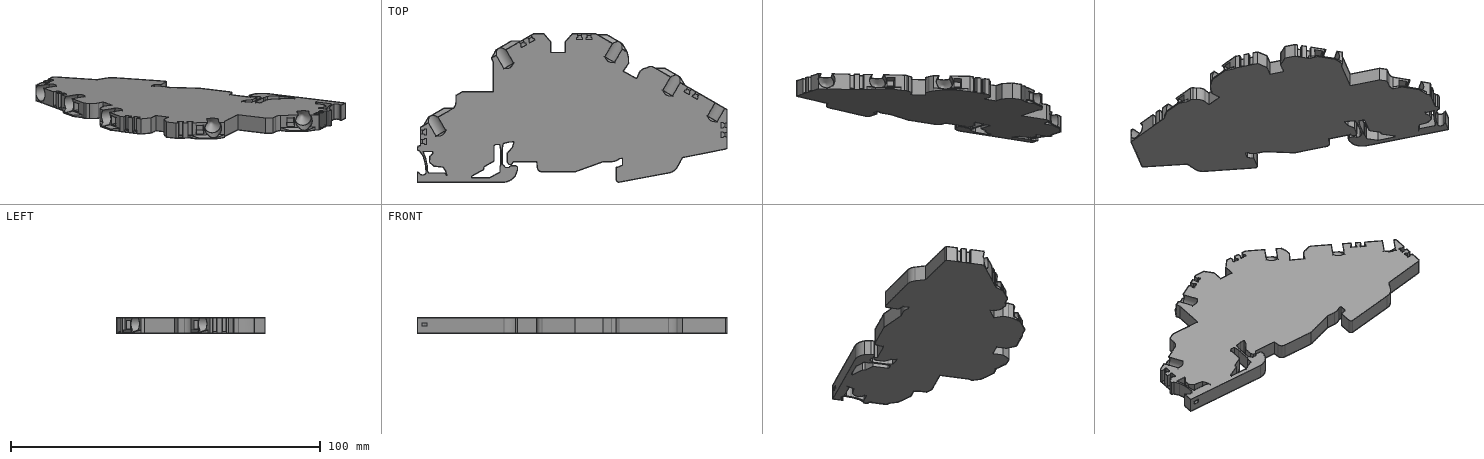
import cadquery as cq
import math

LENGTH = 100.0
HEIGHT = 48.0
THICKNESS = 5.1

LEFT_EDGE_X = 0.93
RAIL_SEAT_Y = 6.63
KEEL_Y = 3.35
LOWER_STEP_Y = 29.26
LOWER_STEP_X = 12.38
UPPER_STEP_X = 24.43
CROWN_NOTCH_X = (43.1, 47.68)
CROWN_NOTCH_Y = 41.93
CROWN_NOTCH_BEVEL_Y = 45.34
RIGHT_SHOULDER_Y = 37.45
RIGHT_FOOT_X = 64.2
RIGHT_TOE_RADIUS = 0.9

SLOPE = math.radians(30)
LEFT_MOUTHS = ((5.09, 20.15), (27.0, 41.93))
RIGHT_MOUTHS = ((64.58, 43.95), (83.31, 33.12))
END_MOUTH_SPACING = 16.63
WIRE_HOLE_RADIUS = 2.7
WIRE_HOLE_AXIS_Z = 3.1
WIRE_HOLE_DEPTH = 5.0
WIRE_HOLE_TIP = WIRE_HOLE_RADIUS
TOOL_HOLE_OFFSET = 4.25
TOOL_HOLE_WIDTH = 2.5
TOOL_HOLE_Z = (1.4, 4.2)
TOOL_HOLE_DEPTH = 5.0

SILL_SPAN = (-3.6, 7.54)
SILL_REACH = 1.55
SILL_INNER_Z = 1.05
SILL_OUTER_Z = 0.4

SLOT_PITCH = 3.05
SLOT_MOUTH = 1.45
SLOT_NECK = 1.15
SLOT_NECK_DEPTH = 1.05
SLOT_WIDTH = 1.9
SLOT_DEPTH = 1.95
SLOT_SHOULDER_DEPTH = 1.4
SLOT_FLOOR_Z = 0.55
SLOT_LIP_Z = 0.2
SLOT_LIP_DEPTH = 0.65

POCKET_X = (1.5, 3.15)
POCKET_Z = (2.4, 3.4)
POCKET_RAMP_X = 2.45
POCKET_DEPTH = 1.0
POCKET_RAMP_DEPTH = 1.2


def y_on_slope(mouth, x, side):
    """Height at x of the sloping edge through a mouth; side is +1 where the edge rises with X."""
    return mouth[1] + side * (x - mouth[0]) * math.tan(SLOPE)


def x_on_slope(mouth, y, side):
    """Where the sloping edge through a mouth reaches height y."""
    return mouth[0] + side * (y - mouth[1]) / math.tan(SLOPE)


def along_slope(mouth, distance, side):
    """Point on the sloping edge, measured uphill from the mouth."""
    return (
        mouth[0] + side * distance * math.cos(SLOPE),
        mouth[1] + distance * math.sin(SLOPE),
    )


def edge_plane(point, angle):
    """Plane on the outline: local x along the edge, local y outward, local z along the part's Z."""
    turn = math.radians(angle)
    return cq.Plane(
        origin=(point[0], point[1], 0),
        xDir=(math.cos(turn), math.sin(turn), 0),
        normal=(0, 0, 1),
    )


def slope_plane(mouth, side):
    """Edge plane at a mouth on a slope that rises with X (side +1) or falls (side -1)."""
    return edge_plane(mouth, side * math.degrees(SLOPE))


def body():
    """Plate with the complete outline, traced clockwise from the left foot."""
    low_left, high_left = LEFT_MOUTHS
    high_right, low_right = RIGHT_MOUTHS
    outline = cq.Workplane("XY").moveTo(0, 0)

    outline = (
        outline.lineTo(0, 3.37)
        .lineTo(0.6, 3.0)
        .threePointArc((1.8, 2.4), (2.7, 2.9))
        .lineTo(2.7, 3.7)
        .threePointArc((2.45, 6.2), (1.75, 8.55))
        .lineTo(0.7, 10.05)
        .lineTo(0, 10.4)
        .lineTo(0, 11.0)
        .threePointArc((0.1, 11.4), (0.3, 11.75))
        .lineTo(LEFT_EDGE_X, 11.85)
    )
    outline = (
        outline.lineTo(LEFT_EDGE_X, y_on_slope(low_left, LEFT_EDGE_X, 1))
        .lineTo(*along_slope(low_left, SILL_SPAN[1], 1))
        .threePointArc((12.15, 24.75), (LOWER_STEP_X, 26.0))
        .lineTo(LOWER_STEP_X, 28.05)
        .lineTo(14.5, LOWER_STEP_Y)
        .lineTo(UPPER_STEP_X, LOWER_STEP_Y)
        .lineTo(UPPER_STEP_X, 38.9)
        .lineTo(*along_slope(high_left, SILL_SPAN[0], 1))
    )
    outline = (
        outline.lineTo(x_on_slope(high_left, HEIGHT, 1), HEIGHT)
        .lineTo(40.84, HEIGHT)
        .lineTo(CROWN_NOTCH_X[0], CROWN_NOTCH_BEVEL_Y)
        .lineTo(CROWN_NOTCH_X[0], CROWN_NOTCH_Y)
        .lineTo(CROWN_NOTCH_X[1], CROWN_NOTCH_Y)
        .lineTo(CROWN_NOTCH_X[1], CROWN_NOTCH_BEVEL_Y)
        .lineTo(50.03, HEIGHT)
        .lineTo(x_on_slope(high_right, HEIGHT, -1), HEIGHT)
    )
    outline = (
        outline.lineTo(*along_slope(high_right, SILL_SPAN[0], -1))
        .lineTo(68.2, 40.3)
        .lineTo(68.25, 38.46)
        .lineTo(66.5, 35.9)
        .lineTo(70.8, 33.5)
        .lineTo(71.57, 35.3)
        .threePointArc((72.5, 36.4), (74.0, 36.95))
        .lineTo(75.0, RIGHT_SHOULDER_Y)
        .lineTo(x_on_slope(low_right, RIGHT_SHOULDER_Y, -1), RIGHT_SHOULDER_Y)
        .lineTo(LENGTH, y_on_slope(low_right, LENGTH, -1))
        .lineTo(LENGTH, 11.0)
        .lineTo(99.5, 10.7)
    )
    outline = (
        outline.lineTo(85.6, 7.95)
        .lineTo(83.9, 4.8)
        .threePointArc((82.8, 3.65), (81.1, 3.0))
        .lineTo(RIGHT_FOOT_X + RIGHT_TOE_RADIUS, 0)
        .radiusArc((RIGHT_FOOT_X, RIGHT_TOE_RADIUS), RIGHT_TOE_RADIUS)
        .lineTo(RIGHT_FOOT_X, 4.85)
        .lineTo(64.8, 4.95)
        .lineTo(66.15, 5.55)
        .lineTo(66.15, 7.7)
        .lineTo(65.2, 7.6)
        .threePointArc((64.05, 6.9), (62.65, RAIL_SEAT_Y))
        .lineTo(60.0, RAIL_SEAT_Y)
    )
    outline = (
        outline.lineTo(50.9, KEEL_Y)
        .lineTo(40.3, KEEL_Y)
        .threePointArc((39.1, 3.85), (38.67, 4.9))
        .lineTo(38.5, RAIL_SEAT_Y)
        .lineTo(31.0, RAIL_SEAT_Y)
        .lineTo(30.35, 5.7)
        .lineTo(29.5, 5.75)
        .lineTo(28.95, 6.6)
        .lineTo(28.95, 9.4)
        .lineTo(30.6, 11.2)
        .lineTo(31.15, 13.05)
        .lineTo(29.7, 12.97)
        .lineTo(27.75, 12.5)
        .lineTo(27.45, 11.0)
        .lineTo(27.45, 5.9)
        .lineTo(28.4, 4.85)
        .lineTo(29.55, 4.85)
        .lineTo(30.2, 5.4)
    )
    outline = (
        outline.lineTo(31.7, 5.4)
        .lineTo(32.35, 5.0)
        .lineTo(32.35, 4.0)
        .lineTo(31.65, 2.1)
        .threePointArc((30.2, 0.75), (28.0, 0))
        .close()
    )
    return outline.extrude(THICKNESS)


def foot_openings():
    """Two through openings that free the spring webs of the left foot."""
    hook_side = (
        cq.Workplane("XY")
        .moveTo(1.85, 9.95)
        .lineTo(4.94, 9.95)
        .lineTo(4.94, 9.35)
        .lineTo(3.95, 8.3)
        .lineTo(3.86, 6.5)
        .lineTo(5.3, 5.2)
        .lineTo(8.3, 4.85)
        .lineTo(9.1, 3.6)
        .lineTo(9.5, 2.2)
        .lineTo(8.85, 3.05)
        .lineTo(3.6, 3.05)
        .lineTo(3.25, 3.8)
        .lineTo(3.2, 5.3)
        .lineTo(2.7, 7.7)
        .close()
    )
    heel_side = (
        cq.Workplane("XY")
        .moveTo(25.2, 12.15)
        .lineTo(26.55, 12.15)
        .lineTo(26.85, 10.4)
        .lineTo(26.85, 5.5)
        .lineTo(26.6, 5.1)
        .lineTo(26.6, 3.3)
        .lineTo(23.3, 1.5)
        .lineTo(17.5, 1.5)
        .lineTo(17.5, 1.95)
        .lineTo(21.4, 4.1)
        .lineTo(21.55, 5.0)
        .lineTo(24.75, 6.85)
        .lineTo(24.75, 11.8)
        .close()
    )
    return hook_side.extrude(THICKNESS).union(heel_side.extrude(THICKNESS))


def sill(mouth, side):
    """Trapezoid below the entry whose top slopes up toward the part."""
    leg = SILL_REACH / math.tan(SLOPE)
    start, end = SILL_SPAN
    plane = slope_plane(mouth, side)
    block = (
        cq.Workplane(plane)
        .polyline([
            (side * start, 0),
            (side * (start + leg), SILL_REACH),
            (side * (end - leg), SILL_REACH),
            (side * end, 0),
        ])
        .close()
        .extrude(SILL_INNER_Z)
    )
    profile_plane = cq.Plane(
        origin=(mouth[0], mouth[1], 0),
        xDir=plane.yDir.toTuple(),
        normal=plane.xDir.toTuple(),
    )
    ramp = (
        cq.Workplane(profile_plane)
        .polyline([(0, 0), (0, SILL_INNER_Z), (SILL_REACH, SILL_OUTER_Z), (SILL_REACH, 0)])
        .close()
        .extrude(2 * SILL_SPAN[1], both=True)
    )
    return block.intersect(ramp)


def wire_hole(mouth, side):
    """Conical-bottomed hole square to the slope, breaking out through the top face."""
    plane = slope_plane(mouth, side)
    axis_plane = cq.Plane(
        origin=(mouth[0], mouth[1], WIRE_HOLE_AXIS_Z),
        xDir=plane.xDir.toTuple(),
        normal=(0, 0, 1),
    )
    return (
        cq.Workplane(axis_plane)
        .polyline([
            (0, SILL_REACH),
            (WIRE_HOLE_RADIUS, SILL_REACH),
            (WIRE_HOLE_RADIUS, -WIRE_HOLE_DEPTH),
            (0, -WIRE_HOLE_DEPTH - WIRE_HOLE_TIP),
        ])
        .close()
        .revolve(360, (0, 0, 0), (0, 1, 0))
    )


def tool_hole(mouth, side):
    """Blind rectangular hole uphill of the wire hole."""
    return (
        cq.Workplane(slope_plane(mouth, side))
        .workplane(offset=TOOL_HOLE_Z[0])
        .center(side * TOOL_HOLE_OFFSET, -TOOL_HOLE_DEPTH / 2)
        .rect(TOOL_HOLE_WIDTH, TOOL_HOLE_DEPTH)
        .extrude(TOOL_HOLE_Z[1] - TOOL_HOLE_Z[0])
    )


def marker_slot(plane):
    """Hourglass groove cut from the top, its floor dropping toward the outer edge."""
    half = [
        (SLOT_MOUTH / 2, 0),
        (SLOT_NECK / 2, -SLOT_NECK_DEPTH),
        (SLOT_WIDTH / 2, -SLOT_SHOULDER_DEPTH),
        (SLOT_WIDTH / 2, -SLOT_DEPTH),
    ]
    mirrored = [(-x, y) for x, y in reversed(half)]
    groove = cq.Workplane(plane).polyline(half + mirrored).close().extrude(THICKNESS)
    side_plane = cq.Plane(
        origin=plane.origin.toTuple(),
        xDir=plane.yDir.toTuple(),
        normal=plane.xDir.toTuple(),
    )
    section = (
        cq.Workplane(side_plane)
        .polyline([
            (0, SLOT_LIP_Z),
            (-SLOT_LIP_DEPTH, SLOT_FLOOR_Z),
            (-SLOT_DEPTH, SLOT_FLOOR_Z),
            (-SLOT_DEPTH, THICKNESS),
            (0, THICKNESS),
        ])
        .close()
        .extrude(SLOT_WIDTH, both=True)
    )
    return groove.intersect(section)


def marker_slot_pair(center, angle):
    """Two slots spaced evenly about a point on an edge that runs at the given angle."""
    turn = math.radians(angle)
    pair = cq.Workplane("XY")
    for offset in (-SLOT_PITCH / 2, SLOT_PITCH / 2):
        point = (center[0] + offset * math.cos(turn), center[1] + offset * math.sin(turn))
        pair = pair.union(marker_slot(edge_plane(point, angle)))
    return pair


def foot_pocket():
    """Shallow pocket whose back wall deepens along a ramp."""
    return (
        cq.Workplane("XY")
        .workplane(offset=POCKET_Z[0])
        .polyline([
            (POCKET_X[0], 0),
            (POCKET_X[0], POCKET_DEPTH),
            (POCKET_RAMP_X, POCKET_DEPTH),
            (POCKET_X[1], POCKET_RAMP_DEPTH),
            (POCKET_X[1], 0),
        ])
        .close()
        .extrude(POCKET_Z[1] - POCKET_Z[0])
    )


slope_angle = math.degrees(SLOPE)
funnels = [(mouth, 1) for mouth in LEFT_MOUTHS] + [(mouth, -1) for mouth in RIGHT_MOUTHS]
end_mouth = along_slope(RIGHT_MOUTHS[1], -END_MOUTH_SPACING, -1)

slot_pairs = [
    ((LEFT_EDGE_X, 14.7), 90),
    (along_slope(LEFT_MOUTHS[1], 9.0, 1), slope_angle),
    ((53.9, HEIGHT), 0),
    (along_slope(RIGHT_MOUTHS[1], -6.8, -1), -slope_angle),
    ((LENGTH, 16.9), -90),
]

result = body().cut(foot_openings()).cut(foot_pocket())
for mouth, side in funnels:
    result = result.union(sill(mouth, side))
for mouth, side in funnels:
    result = result.cut(wire_hole(mouth, side)).cut(tool_hole(mouth, side))
result = result.cut(wire_hole(end_mouth, -1))
for center, angle in slot_pairs:
    result = result.cut(marker_slot_pair(center, angle))